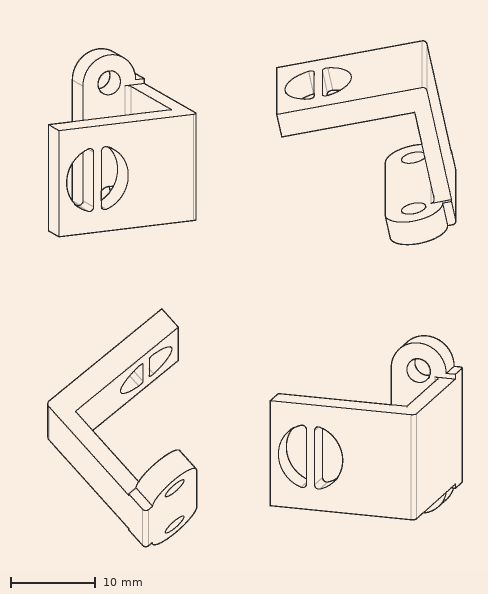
import cadquery as cq

length_x = 18.0
length_y = 18.0
height = 21.03
wall = 3.0
web_thickness = 2.0
web_height = 13.0
edge_radius = 0.5

plate_width = 8.0
hole_diameter = 2.9
top_ear_radius = 3.43
bottom_ear_radius = 3.5
hole_y = length_y - plate_width + top_ear_radius
bottom_hole_z = bottom_ear_radius
top_hole_z = height - top_ear_radius

window_diameter = 8.0
window_bar = 1.0
window_y = 5.0
middle_z = height / 2


def block(start, end):
    """Box between two opposite corners."""
    size = [b - a for a, b in zip(start, end)]
    return cq.Workplane("XY").box(*size, centered=False).translate(start)


def disc(y, z, radius, x, thickness):
    """Cylinder along X, starting at the given x."""
    return cq.Workplane("YZ", origin=(x, y, z)).circle(radius).extrude(thickness)


def lug_plate():
    front_y = length_y - plate_width
    plate = block((0, front_y, bottom_hole_z), (wall, length_y, top_hole_z))
    plate = plate.edges("|Z and <X and >Y").fillet(edge_radius)
    ear_limit = block((0, front_y, 0), (wall, length_y, height))
    for z, radius in ((bottom_hole_z, bottom_ear_radius), (top_hole_z, top_ear_radius)):
        plate = plate.union(disc(hole_y, z, radius, 0, wall).intersect(ear_limit))
    for z in (bottom_hole_z, top_hole_z):
        plate = plate.cut(disc(hole_y, z, hole_diameter / 2, 0, wall))
    return plate


def web_and_arm():
    """L-shaped strip, with a fillet where the web meets the lug plate."""
    web_front_y = length_y - web_thickness
    arm_x = length_x - wall
    return (
        cq.Workplane("XY", origin=(0, 0, middle_z - web_height / 2))
        .moveTo(wall, length_y)
        .lineTo(length_x - edge_radius, length_y)
        .radiusArc((length_x, length_y - edge_radius), edge_radius)
        .lineTo(length_x, 0)
        .lineTo(arm_x, 0)
        .lineTo(arm_x, web_front_y)
        .lineTo(wall + edge_radius, web_front_y)
        .radiusArc((wall, web_front_y - edge_radius), -edge_radius)
        .close()
        .extrude(web_height)
    )


def window():
    """Two half-round openings separated by a vertical bar."""
    arm_x = length_x - wall
    radius = window_diameter / 2
    bar = block(
        (arm_x, window_y - window_bar / 2, middle_z - radius),
        (length_x, window_y + window_bar / 2, middle_z + radius),
    )
    return disc(window_y, middle_z, radius, arm_x, wall).cut(bar).edges("|X").fillet(edge_radius)


result = lug_plate().union(web_and_arm()).cut(window())